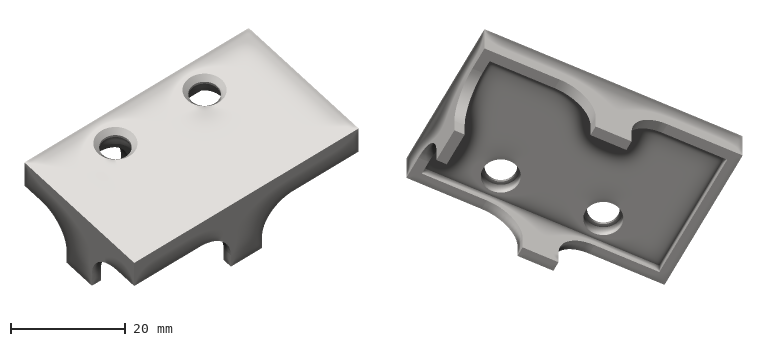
import cadquery as cq

plate_x = 30.5
plate_y = 50.4
plate_thickness = 6.0
total_height = 16.0

pocket_depth = 2.0

leg_thickness = 2.0
leg_width = 7.0
flare_radius = 7.0

throat_diameter = 5.7
throat_length = 0.5
bore_diameter = 7.0
countersink_diameter = 7.7
countersink_angle = 90
hole_edge_distance = 6.5
hole_spacing = 20.0


def make_leg(plane):
    """Leg centred on the plane origin, extruded along the plane normal."""
    half_width = leg_width / 2
    half_root = half_width + flare_radius
    flare_end = -plate_thickness - flare_radius
    diagonal = flare_radius / 2**0.5
    middle_x = half_root - diagonal
    middle_z = flare_end + diagonal
    return (
        cq.Workplane(plane)
        .moveTo(-half_root, -plate_thickness)
        .threePointArc((-middle_x, middle_z), (-half_width, flare_end))
        .lineTo(-half_width, -total_height)
        .lineTo(half_width, -total_height)
        .lineTo(half_width, flare_end)
        .threePointArc((middle_x, middle_z), (half_root, -plate_thickness))
        .lineTo(half_root, -plate_thickness / 2)
        .lineTo(-half_root, -plate_thickness / 2)
        .close()
        .extrude(leg_thickness)
    )


plate = cq.Workplane("XY").box(plate_x, plate_y, plate_thickness, centered=(True, True, False))
result = plate.translate((0, 0, -plate_thickness))

pocket = cq.Workplane("XY").box(
    plate_x - 2 * leg_thickness,
    plate_y - 2 * leg_thickness,
    pocket_depth,
    centered=(True, True, False),
)
result = result.cut(pocket.translate((0, 0, -plate_thickness)))

leg_planes = [
    cq.Plane(origin=(-plate_x / 2, 0, 0), xDir=(0, 1, 0), normal=(1, 0, 0)),
    cq.Plane(origin=(plate_x / 2, 0, 0), xDir=(0, -1, 0), normal=(-1, 0, 0)),
    cq.Plane(origin=(0, -plate_y / 2, 0), xDir=(-1, 0, 0), normal=(0, 1, 0)),
]
for leg_plane in leg_planes:
    result = result.union(make_leg(leg_plane))

hole_x = -plate_x / 2 + hole_edge_distance
hole_points = [(hole_x, -hole_spacing / 2), (hole_x, hole_spacing / 2)]
result = (
    result.faces(">Z")
    .workplane(origin=(0, 0, 0))
    .pushPoints(hole_points)
    .cskHole(throat_diameter, countersink_diameter, countersink_angle)
)
countersink_depth = (countersink_diameter - throat_diameter) / 2
bore_depth = plate_thickness - countersink_depth - throat_length
bores = (
    cq.Workplane("XY", origin=(0, 0, -plate_thickness))
    .pushPoints(hole_points)
    .circle(bore_diameter / 2)
    .extrude(bore_depth)
)
result = result.cut(bores)